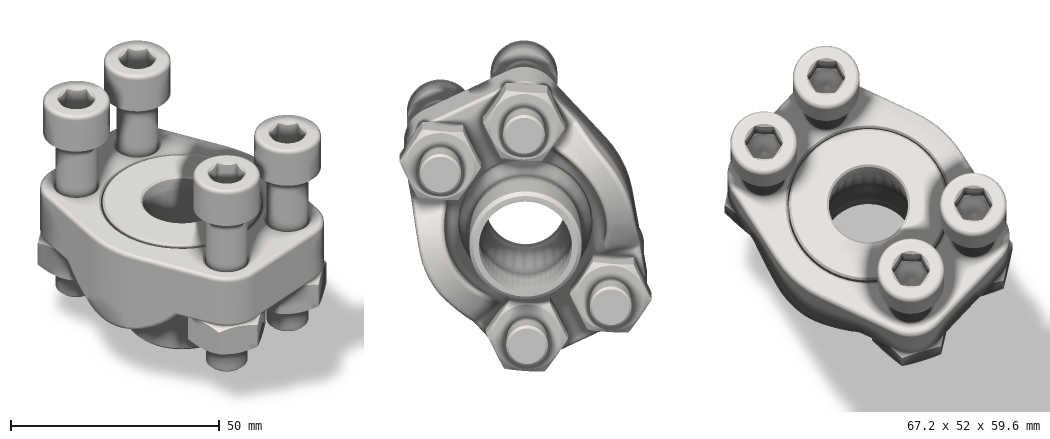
import cadquery as cq
import math


BOLT_PITCH_X = 47.6
BOLT_PITCH_Y = 22.3
BOLT_POINTS = [
    (sx * BOLT_PITCH_X / 2, sy * BOLT_PITCH_Y / 2) for sx in (-1, 1) for sy in (-1, 1)
]

FLANGE_LENGTH_X = 65.0
FLANGE_WIDTH_Y = 52.0
FLANGE_THICKNESS = 14.0
FLANGE_TOP_Z = -0.5
FLANGE_BOTTOM_Z = FLANGE_TOP_Z - FLANGE_THICKNESS
FLANGE_ROUND = 1.0
MIDDLE_RADIUS = FLANGE_WIDTH_Y / 2
CORNER_RADIUS = (FLANGE_LENGTH_X - BOLT_PITCH_X) / 2
BOLT_HOLE_DIAMETER = 10.5
SEAT_DIAMETER = 38.9
NECK_HOLE_DIAMETER = 32.15
HOLE_CHAMFER = 0.5

LOBE_BOTTOM_Z = -23.3
LOBE_RADIUS = 22.8
LOBE_AXIS_Z = LOBE_BOTTOM_Z + LOBE_RADIUS
LOBE_TAPER = math.radians(9.5)
LOBE_INNER_RADIUS = SEAT_DIAMETER / 2
LOBE_ROOT_ROUND = 1.5

HEAD_DIAMETER = 38.1
HEAD_HEIGHT = 6.7
HEAD_CHAMFER = 0.5
NECK_DIAMETER = 31.6
TUBE_DIAMETER = 26.9
ADAPTER_LENGTH = 35.0
HUB_TOP_Z = -15.0
HUB_BOTTOM_Z = -20.0
HUB_ROUND = 1.2
TUBE_END_CHAMFER = 0.9
INLET_DIAMETER = 19.0
INLET_DEPTH = 3.5
INLET_CHAMFER = 0.5
TUBE_BORE_DIAMETER = 22.3

SCREW_DIAMETER = 10.0
SCREW_LENGTH = 45.0
SCREW_HEAD_DIAMETER = 16.0
SCREW_HEAD_HEIGHT = 10.0
SCREW_HEAD_ROUND = 1.0
SCREW_TOP_Z = 24.6
SCREW_NECK_DIAMETER = 11.2
SCREW_NECK_HEIGHT = 1.0
SCREW_TIP_CHAMFER = 0.55
SCREW_TURN = 40.0
SOCKET_ACROSS_FLATS = 8.0
SOCKET_DEPTH = 6.0
DRILL_POINT_ANGLE = math.radians(120)
SOCKET_MOUTH_SLOPE = math.radians(45)

NUT_ACROSS_FLATS = 17.0
NUT_HEIGHT = 8.2
NUT_CHAMFER_ANGLE = math.radians(30)
NUT_FACE_DIAMETER = 16.3

EDGE_TOLERANCE = 0.01


def hexagon_corner_diameter(across_flats):
    return across_flats / math.cos(math.pi / 6)


def cylinder_down(diameter, top_z, depth):
    """Cylinder on the Z axis, reaching down from top_z."""
    return cq.Workplane("XY", origin=(0, 0, top_z)).circle(diameter / 2).extrude(-depth)


def revolve_about_z(profile):
    """Full turn of a closed profile drawn on the XZ plane."""
    return profile.close().revolve(360, (0, 0, 0), (0, 1, 0))


def flange_outline():
    """Closed outline: a large arc on each long side, joined by tangents to the corner arcs."""
    bolt_x = BOLT_PITCH_X / 2
    bolt_y = BOLT_PITCH_Y / 2
    spacing = math.hypot(bolt_x, bolt_y)
    tangent = math.atan2(bolt_y, bolt_x) + math.acos((MIDDLE_RADIUS - CORNER_RADIUS) / spacing)
    middle_x = MIDDLE_RADIUS * math.cos(tangent)
    middle_y = MIDDLE_RADIUS * math.sin(tangent)
    corner_x = bolt_x + CORNER_RADIUS * math.cos(tangent)
    corner_y = bolt_y + CORNER_RADIUS * math.sin(tangent)
    corner_mid_x = bolt_x + CORNER_RADIUS * math.cos(tangent / 2)
    corner_mid_y = bolt_y + CORNER_RADIUS * math.sin(tangent / 2)
    side_x = FLANGE_LENGTH_X / 2
    return (
        cq.Workplane("XY", origin=(0, 0, FLANGE_TOP_Z))
        .moveTo(middle_x, middle_y)
        .lineTo(corner_x, corner_y)
        .threePointArc((corner_mid_x, corner_mid_y), (side_x, bolt_y))
        .lineTo(side_x, -bolt_y)
        .threePointArc((corner_mid_x, -corner_mid_y), (corner_x, -corner_y))
        .lineTo(middle_x, -middle_y)
        .threePointArc((0, -MIDDLE_RADIUS), (-middle_x, -middle_y))
        .lineTo(-corner_x, -corner_y)
        .threePointArc((-corner_mid_x, -corner_mid_y), (-side_x, -bolt_y))
        .lineTo(-side_x, bolt_y)
        .threePointArc((-corner_mid_x, corner_mid_y), (-corner_x, corner_y))
        .lineTo(-middle_x, middle_y)
        .threePointArc((0, MIDDLE_RADIUS), (middle_x, middle_y))
        .close()
    )


def lobe_cones():
    """Two cones on a common Y axis, each widening from the waist to the full lobe radius."""
    waist = LOBE_RADIUS - MIDDLE_RADIUS * math.tan(LOBE_TAPER)
    return (
        cq.Workplane("XY")
        .polyline(
            [
                (0, -MIDDLE_RADIUS),
                (LOBE_RADIUS, -MIDDLE_RADIUS),
                (waist, 0),
                (LOBE_RADIUS, MIDDLE_RADIUS),
                (0, MIDDLE_RADIUS),
            ]
        )
        .close()
        .revolve(360, (0, 0, 0), (0, 1, 0))
        .translate((0, 0, LOBE_AXIS_Z))
    )


def reach(edge):
    """Distance from the Z axis to the middle of an edge."""
    middle = edge.positionAt(0.5)
    return math.hypot(middle.x, middle.y)


def is_lobe_inner_rim(edge):
    on_inner_wall = reach(edge) < LOBE_INNER_RADIUS + EDGE_TOLERANCE
    return on_inner_wall and edge.BoundingBox().zmin < FLANGE_BOTTOM_Z


def is_lobe_root(edge):
    """True for the inside corners where a lobe flank meets the flat underside."""
    box = edge.BoundingBox()
    level = abs(box.zmin - FLANGE_BOTTOM_Z) < EDGE_TOLERANCE and box.zlen < EDGE_TOLERANCE
    return level and LOBE_INNER_RADIUS + EDGE_TOLERANCE < reach(edge) < MIDDLE_RADIUS - EDGE_TOLERANCE


def is_lower_outer_edge(edge):
    below = edge.BoundingBox().zmax < FLANGE_BOTTOM_Z + EDGE_TOLERANCE
    return below and reach(edge) > MIDDLE_RADIUS - EDGE_TOLERANCE


def make_lobes():
    """Two crescents that lie outside the inner radius and follow the flange outline."""
    depth = FLANGE_TOP_Z - LOBE_BOTTOM_Z
    lobes = flange_outline().extrude(-depth).intersect(lobe_cones())
    lobes = lobes.cut(cylinder_down(2 * LOBE_INNER_RADIUS, FLANGE_TOP_Z, depth))
    return lobes.edges().filter(is_lobe_inner_rim).fillet(FLANGE_ROUND)


def hole_chamfer(diameter):
    """Cone that breaks the edge of a hole in the top face of the flange."""
    return cq.Workplane(
        cq.Solid.makeCone(
            diameter / 2 + HOLE_CHAMFER,
            diameter / 2,
            HOLE_CHAMFER,
            pnt=cq.Vector(0, 0, FLANGE_TOP_Z),
            dir=cq.Vector(0, 0, -1),
        )
    )


def make_flange():
    plate = flange_outline().extrude(-FLANGE_THICKNESS)
    flange = plate.union(make_lobes())
    flange = flange.faces(">Z").edges().fillet(FLANGE_ROUND)
    flange = flange.edges().filter(is_lobe_root).fillet(LOBE_ROOT_ROUND)
    flange = flange.edges().filter(is_lower_outer_edge).fillet(FLANGE_ROUND)

    flange = flange.cut(cylinder_down(NECK_HOLE_DIAMETER, FLANGE_TOP_Z, FLANGE_THICKNESS))
    flange = flange.cut(cylinder_down(SEAT_DIAMETER, FLANGE_TOP_Z, FLANGE_TOP_Z + HEAD_HEIGHT))
    flange = flange.cut(hole_chamfer(SEAT_DIAMETER))
    for x, y in BOLT_POINTS:
        bolt_hole = cylinder_down(BOLT_HOLE_DIAMETER, FLANGE_TOP_Z, FLANGE_THICKNESS)
        bolt_hole = bolt_hole.union(hole_chamfer(BOLT_HOLE_DIAMETER))
        flange = flange.cut(bolt_hole.translate((x, y, 0)))
    return flange


def is_hub_end(edge):
    """True for the two outer circles where the hub cone meets the neck and the tube."""
    level = edge.Center().z
    at_end = min(abs(level - HUB_TOP_Z), abs(level - HUB_BOTTOM_Z)) < EDGE_TOLERANCE
    return at_end and edge.radius() > TUBE_BORE_DIAMETER / 2 + EDGE_TOLERANCE


def make_adapter():
    head_r = HEAD_DIAMETER / 2
    neck_r = NECK_DIAMETER / 2
    tube_r = TUBE_DIAMETER / 2
    inlet_r = INLET_DIAMETER / 2
    bore_r = TUBE_BORE_DIAMETER / 2
    adapter = revolve_about_z(
        cq.Workplane("XZ")
        .moveTo(inlet_r + INLET_CHAMFER, 0)
        .lineTo(head_r - HEAD_CHAMFER, 0)
        .lineTo(head_r, -HEAD_CHAMFER)
        .lineTo(head_r, -HEAD_HEIGHT)
        .lineTo(neck_r, -HEAD_HEIGHT)
        .lineTo(neck_r, HUB_TOP_Z)
        .lineTo(tube_r, HUB_BOTTOM_Z)
        .lineTo(tube_r, -ADAPTER_LENGTH + TUBE_END_CHAMFER)
        .lineTo(tube_r - TUBE_END_CHAMFER, -ADAPTER_LENGTH)
        .lineTo(bore_r, -ADAPTER_LENGTH)
        .lineTo(bore_r, HUB_BOTTOM_Z)
        .lineTo(inlet_r, -INLET_DEPTH)
        .lineTo(inlet_r, -INLET_CHAMFER)
    )
    return adapter.edges("%CIRCLE").filter(is_hub_end).fillet(HUB_ROUND)


def make_socket():
    """Hexagon socket with a drill point at its floor and a chamfered mouth."""
    flat_r = SOCKET_ACROSS_FLATS / 2
    mouth_r = hexagon_corner_diameter(SOCKET_ACROSS_FLATS) / 2
    floor_z = SCREW_TOP_Z - SOCKET_DEPTH
    hexagon = (
        cq.Workplane("XY", origin=(0, 0, SCREW_TOP_Z))
        .polygon(6, 2 * mouth_r)
        .extrude(-SOCKET_DEPTH)
    )
    drill_point = revolve_about_z(
        cq.Workplane("XZ")
        .moveTo(0, floor_z)
        .lineTo(flat_r, floor_z)
        .lineTo(0, floor_z - flat_r / math.tan(DRILL_POINT_ANGLE / 2))
    )
    mouth = revolve_about_z(
        cq.Workplane("XZ")
        .moveTo(0, SCREW_TOP_Z)
        .lineTo(mouth_r, SCREW_TOP_Z)
        .lineTo(0, SCREW_TOP_Z - mouth_r * math.tan(SOCKET_MOUTH_SLOPE))
    )
    return hexagon.union(drill_point).union(mouth)


def make_screw():
    """Socket head cap screw standing on the Z axis."""
    shank_r = SCREW_DIAMETER / 2
    head_r = SCREW_HEAD_DIAMETER / 2
    head_bottom_z = SCREW_TOP_Z - SCREW_HEAD_HEIGHT
    tip_z = head_bottom_z - SCREW_LENGTH
    screw = revolve_about_z(
        cq.Workplane("XZ")
        .moveTo(0, tip_z)
        .lineTo(shank_r - SCREW_TIP_CHAMFER, tip_z)
        .lineTo(shank_r, tip_z + SCREW_TIP_CHAMFER)
        .lineTo(shank_r, head_bottom_z - SCREW_NECK_HEIGHT)
        .tangentArcPoint((SCREW_NECK_DIAMETER / 2, head_bottom_z), relative=False)
        .lineTo(head_r, head_bottom_z)
        .lineTo(head_r, SCREW_TOP_Z)
        .lineTo(0, SCREW_TOP_Z)
    )
    screw = screw.faces(">Z").edges().fillet(SCREW_HEAD_ROUND)
    return screw.cut(make_socket()).rotate((0, 0, 0), (0, 0, 1), SCREW_TURN)


def make_nut():
    """Hexagon nut under the flange, its corners along X and chamfered at both ends."""
    corner_r = hexagon_corner_diameter(NUT_ACROSS_FLATS) / 2
    face_r = NUT_FACE_DIAMETER / 2
    top_z = FLANGE_BOTTOM_Z
    bottom_z = top_z - NUT_HEIGHT
    chamfer = (corner_r - face_r) * math.tan(NUT_CHAMFER_ANGLE)
    hexagon = (
        cq.Workplane("XY", origin=(0, 0, top_z)).polygon(6, 2 * corner_r).extrude(-NUT_HEIGHT)
    )
    envelope = revolve_about_z(
        cq.Workplane("XZ")
        .moveTo(0, top_z)
        .lineTo(face_r, top_z)
        .lineTo(corner_r, top_z - chamfer)
        .lineTo(corner_r, bottom_z + chamfer)
        .lineTo(face_r, bottom_z)
        .lineTo(0, bottom_z)
    )
    return hexagon.intersect(envelope).cut(cylinder_down(SCREW_DIAMETER, top_z, NUT_HEIGHT))


flange = make_flange()
adapter = make_adapter()
screws = [make_screw().translate((x, y, 0)) for x, y in BOLT_POINTS]
nuts = [make_nut().translate((x, y, 0)) for x, y in BOLT_POINTS]

result = cq.Compound.makeCompound(
    [
        flange.val(),
        adapter.val(),
        *[screw.val() for screw in screws],
        *[nut.val() for nut in nuts],
    ]
)